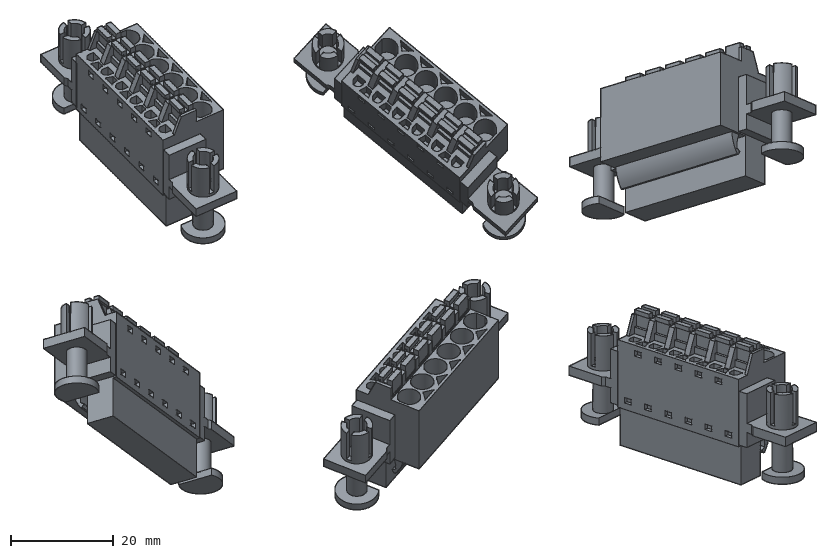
import cadquery as cq


POLE_COUNT = 6
PITCH = 5.1
POLE_XS = [(i - (POLE_COUNT - 1) / 2) * PITCH for i in range(POLE_COUNT)]
GAP_XS = [(i + 1 - POLE_COUNT / 2) * PITCH for i in range(POLE_COUNT - 1)]

HOUSING_LENGTH = POLE_COUNT * PITCH
HOUSING_DEPTH = 14.2
END_WALL = 0.5
HOUSING_BOTTOM = 8.35
FRONT_TOP = 22.65
BACK_TOP = 23.65
RIDGE_TOP = 26.65
RIDGE_FOOT_Y = 2.7
RIDGE_FRONT_Y = 4.3
RIDGE_BACK_Y = 7.85
SKIRT_FRONT_Y = 0.75
SKIRT_BACK_Y = 6.7

HOOK_LENGTH = HOUSING_LENGTH - 2 * END_WALL
HOOK_BACK_Y = 10.2
HOOK_FRONT_Y = 8.05
HOOK_BACK_MIDDLE = (9.6, 5.9)
HOOK_TIP_BACK = (8.6, 4.2)
HOOK_TIP_FRONT = (8.2, 4.2)
HOOK_BARB = (7.8, 4.85)
HOOK_THROAT = (8.6, 5.35)
HOOK_FRONT_MIDDLE = (8.5, 7.05)

SEAT_WIDTH = 3.8
SEAT_FLOOR = 24.1

LEVER_WIDTH = 3.6
LEVER_FRONT_Y = 4.9
LEVER_BACK_Y = 7.65
LUG_FRONT_Y = 4.4
LUG_DEPTH = 1.15
LUG_UNDERSIDE = 26.8
LEVER_TOP = 27.75

WIRE_HOLE_DIAMETER = 4.55
WIRE_HOLE_Y = 10.45
WIRE_HOLE_DEPTH = 8.2
TRIANGLE_WIDTH = 3.4
TRIANGLE_BACK_Y = 13.6
TRIANGLE_TIP_Y = 12.15
TRIANGLE_DEPTH = 2.75
PROBE_WIDTH = 2.1
PROBE_FRONT_Y = 1.0
PROBE_BACK_Y = 3.0
POCKET_DEPTH = 3.3
WEDGE_FRONT_Y = 0.8
WEDGE_BACK_Y = 2.3
WEDGE_FRONT_WIDTH = 2.3
WEDGE_BACK_WIDTH = 1.3
WINDOW_WIDTH = 1.65
WINDOW_HEIGHT = 1.15
WINDOW_DEPTH = 0.8
UPPER_WINDOW_BOTTOM = 20.4
LOWER_WINDOW_BOTTOM = 9.7

OVERALL_LENGTH = 54.65
PLATE_THICKNESS = 1.95
PLATE_FRONT_Y = 0.15
PLATE_BACK_Y = 8.75
PLATE_BOTTOM = 8.7
PLATE_TOP = 20.1
EAR_FRONT_Y = -0.3
EAR_BACK_Y = 9.25
EAR_BOTTOM = 11.85
EAR_TOP = 13.8
EAR_SHOULDER_X = 19.05
NECK_END_X = 18.4

POST_SPACING = 45.25
POST_Y = (EAR_FRONT_Y + EAR_BACK_Y) / 2
SHAFT_DIAMETER = 4.05
HEAD_DIAMETER = 8.6
HEAD_BOTTOM = 2.8
HEAD_TOP = 4.3
COLLET_DIAMETER = 6.2
COLLET_BORE = 4.0
COLLET_TOP = 21.25
SLOT_WIDTH = 1.0
SLOT_BOTTOM = 14.5
BORE_BOTTOM = 14.15

SIDES = (-1, 1)


def block(x_range, y_range, z_range):
    """Box between the given pairs of coordinates."""
    size = [high - low for low, high in (x_range, y_range, z_range)]
    corner = (x_range[0], y_range[0], z_range[0])
    return cq.Workplane("XY").box(*size, centered=False).translate(corner)


def centred(x, width):
    """Pair of X coordinates spaced evenly about x."""
    return (x - width / 2, x + width / 2)


def along_row(profile, length):
    """Extrude a YZ sketch to the given length, centred on the row of poles."""
    return profile.extrude(length / 2, both=True)


def post_cylinder(diameter, bottom, top):
    """Upright cylinder on the axis of the right-hand post."""
    return (
        cq.Workplane("XY", origin=(POST_SPACING / 2, POST_Y, bottom))
        .circle(diameter / 2)
        .extrude(top - bottom)
    )



def housing_body():
    profile = cq.Workplane("YZ").polyline([
        (0, HOUSING_BOTTOM),
        (0, FRONT_TOP),
        (RIDGE_FOOT_Y, FRONT_TOP),
        (RIDGE_FRONT_Y, RIDGE_TOP),
        (RIDGE_BACK_Y, RIDGE_TOP),
        (RIDGE_BACK_Y, BACK_TOP),
        (HOUSING_DEPTH, BACK_TOP),
        (HOUSING_DEPTH, HOUSING_BOTTOM),
    ]).close()
    skirt = block(
        centred(0, HOUSING_LENGTH), (SKIRT_FRONT_Y, SKIRT_BACK_Y), (0, HOUSING_BOTTOM)
    )
    return along_row(profile, HOUSING_LENGTH).union(skirt)


def latch_hook():
    profile = (
        cq.Workplane("YZ")
        .moveTo(HOOK_BACK_Y, HOUSING_BOTTOM)
        .threePointArc(HOOK_BACK_MIDDLE, HOOK_TIP_BACK)
        .lineTo(*HOOK_TIP_FRONT)
        .lineTo(*HOOK_BARB)
        .lineTo(*HOOK_THROAT)
        .threePointArc(HOOK_FRONT_MIDDLE, (HOOK_FRONT_Y, HOUSING_BOTTOM))
        .close()
    )
    return along_row(profile, HOOK_LENGTH)


def flange(side):
    """Side plate and ear at one end of the housing."""
    end_x = HOUSING_LENGTH / 2
    plate = block(
        (end_x, end_x + PLATE_THICKNESS), (PLATE_FRONT_Y, PLATE_BACK_Y), (PLATE_BOTTOM, PLATE_TOP)
    )
    ear = cq.Workplane("XY").workplane(offset=EAR_BOTTOM).polyline([
        (end_x, PLATE_FRONT_Y),
        (NECK_END_X, PLATE_FRONT_Y),
        (EAR_SHOULDER_X, EAR_FRONT_Y),
        (OVERALL_LENGTH / 2, EAR_FRONT_Y),
        (OVERALL_LENGTH / 2, EAR_BACK_Y),
        (EAR_SHOULDER_X, EAR_BACK_Y),
        (NECK_END_X, PLATE_BACK_Y),
        (end_x, PLATE_BACK_Y),
    ]).close().extrude(EAR_TOP - EAR_BOTTOM)
    post_hole = post_cylinder(SHAFT_DIAMETER, EAR_BOTTOM, EAR_TOP)
    right_flange = plate.union(ear).cut(post_hole)
    return right_flange if side > 0 else right_flange.mirror("YZ")


def lever_seat(x):
    """Notch through the ridge, with a lower step in front of the lever."""
    xs = centred(x, SEAT_WIDTH)
    notch = block(xs, (RIDGE_FRONT_Y, RIDGE_BACK_Y), (SEAT_FLOOR, RIDGE_TOP))
    front_step = block(xs, (RIDGE_FOOT_Y, RIDGE_FRONT_Y), (FRONT_TOP, RIDGE_TOP))
    return notch.union(front_step)


def wire_hole(x):
    """Round wire entry, flattened where it would come too near an end of the housing."""
    hole = (
        cq.Workplane("XY", origin=(x, WIRE_HOLE_Y, BACK_TOP))
        .circle(WIRE_HOLE_DIAMETER / 2)
        .extrude(-WIRE_HOLE_DEPTH)
    )
    inside_walls = block(
        centred(0, HOUSING_LENGTH - 2 * END_WALL), (0, HOUSING_DEPTH), (0, BACK_TOP)
    )
    return hole.intersect(inside_walls)


def triangle_pocket(x):
    return cq.Workplane("XY", origin=(x, 0, BACK_TOP)).polyline([
        (-TRIANGLE_WIDTH / 2, TRIANGLE_BACK_Y),
        (TRIANGLE_WIDTH / 2, TRIANGLE_BACK_Y),
        (0, TRIANGLE_TIP_Y),
    ]).close().extrude(-TRIANGLE_DEPTH)


def probe_hole(x):
    """Test probe opening with a flat back and a round front."""
    half = PROBE_WIDTH / 2
    return (
        cq.Workplane("XY", origin=(x, 0, FRONT_TOP))
        .moveTo(-half, PROBE_BACK_Y)
        .lineTo(-half, PROBE_FRONT_Y + half)
        .threePointArc((0, PROBE_FRONT_Y), (half, PROBE_FRONT_Y + half))
        .lineTo(half, PROBE_BACK_Y)
        .close()
        .extrude(-POCKET_DEPTH)
    )


def wedge_pocket(x):
    """Tapered pocket that reaches below the sill of the upper window."""
    return cq.Workplane("XY", origin=(x, 0, FRONT_TOP)).polyline([
        (-WEDGE_FRONT_WIDTH / 2, WEDGE_FRONT_Y),
        (WEDGE_FRONT_WIDTH / 2, WEDGE_FRONT_Y),
        (WEDGE_BACK_WIDTH / 2, WEDGE_BACK_Y),
        (-WEDGE_BACK_WIDTH / 2, WEDGE_BACK_Y),
    ]).close().extrude(-POCKET_DEPTH)


def window(x, bottom):
    return block(centred(x, WINDOW_WIDTH), (0, WINDOW_DEPTH), (bottom, bottom + WINDOW_HEIGHT))


def make_housing():
    housing = housing_body().union(latch_hook())
    for side in SIDES:
        housing = housing.union(flange(side))
    for x in POLE_XS:
        housing = housing.cut(lever_seat(x))
        housing = housing.cut(wire_hole(x))
        housing = housing.cut(probe_hole(x))
        housing = housing.cut(window(x, LOWER_WINDOW_BOTTOM))
    for x in GAP_XS:
        housing = housing.cut(triangle_pocket(x))
        housing = housing.cut(wedge_pocket(x))
        housing = housing.cut(window(x, UPPER_WINDOW_BOTTOM))
    return housing



def make_lever(x):
    """Lever against the left wall of its seat, with two finger lugs on top.

    The front lug overhangs the front face.
    """
    left = x - SEAT_WIDTH / 2
    return cq.Workplane("YZ").workplane(offset=left).polyline([
        (LEVER_FRONT_Y, SEAT_FLOOR),
        (LEVER_FRONT_Y, LUG_UNDERSIDE),
        (LUG_FRONT_Y, LUG_UNDERSIDE),
        (LUG_FRONT_Y, LEVER_TOP),
        (LUG_FRONT_Y + LUG_DEPTH, LEVER_TOP),
        (LUG_FRONT_Y + LUG_DEPTH, RIDGE_TOP),
        (LEVER_BACK_Y - LUG_DEPTH, RIDGE_TOP),
        (LEVER_BACK_Y - LUG_DEPTH, LEVER_TOP),
        (LEVER_BACK_Y, LEVER_TOP),
        (LEVER_BACK_Y, SEAT_FLOOR),
    ]).close().extrude(LEVER_WIDTH)



def make_post(side):
    """Post with a slotted collet above the ear and a flattened head below it."""
    axis_x = POST_SPACING / 2
    shaft = post_cylinder(SHAFT_DIAMETER, HEAD_TOP, EAR_TOP)

    reach = HEAD_DIAMETER / 2
    flat_x = axis_x - SHAFT_DIAMETER / 2
    across_y = (POST_Y - reach, POST_Y + reach)
    head_side = block((flat_x, axis_x + reach), across_y, (HEAD_BOTTOM, HEAD_TOP))
    head = post_cylinder(HEAD_DIAMETER, HEAD_BOTTOM, HEAD_TOP).intersect(head_side)

    collet = post_cylinder(COLLET_DIAMETER, EAR_TOP, COLLET_TOP)
    collet = collet.cut(post_cylinder(COLLET_BORE, BORE_BOTTOM, COLLET_TOP))
    slot = (
        cq.Workplane("XY", origin=(axis_x, POST_Y, SLOT_BOTTOM))
        .rect(COLLET_DIAMETER, SLOT_WIDTH)
        .extrude(COLLET_TOP - SLOT_BOTTOM)
    )
    cross_slot = slot.rotate((axis_x, POST_Y, 0), (axis_x, POST_Y, 1), 90)
    collet = collet.cut(slot).cut(cross_slot)

    post = shaft.union(head).union(collet)
    return post if side > 0 else post.mirror("YZ")


housing = make_housing()
levers = [make_lever(x) for x in POLE_XS]
posts = [make_post(side) for side in SIDES]

result = cq.Compound.makeCompound(
    [housing.val(), *[lever.val() for lever in levers], *[post.val() for post in posts]]
)